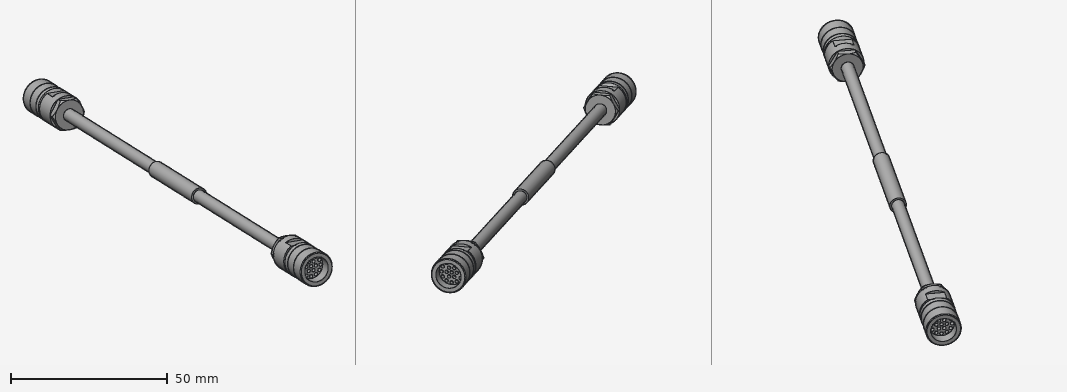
import cadquery as cq
import math

TOTAL_LENGTH = 194.86
HALF_LENGTH = TOTAL_LENGTH / 2
CONNECTOR_DIAMETER = 11.5

CABLE_DIAMETER = 4.2
SLEEVE_DIAMETER = 5.4
SLEEVE_LENGTH = 30.0

GRIP_START = 5.0
GRIP_END = 9.1
COUPLING_LENGTH = 11.8
BODY_END = 19.1
CONNECTOR_LENGTH = 21.4

TIP_CHAMFER = 0.3
REAR_TAPER_LENGTH = 0.9
REAR_TAPER_ANGLE = 58.0
GRIP_RELIEF = 0.1
BORE_DIAMETER = 8.3
BORE_DEPTH = 8.0

INSERT_RECESS = 3.8
SOCKET_DIAMETER = 1.1
SOCKET_DEPTH = 2.0
SOCKET_PITCH = 1.7
SOCKET_RINGS = 2
SOCKETS_PER_RING_STEP = 6

FLAT_ACROSS = 9.7
FLAT_LENGTH = 3.8
HEX_ACROSS_FLATS = 10.0
HEX_CORNER_DIAMETER = HEX_ACROSS_FLATS / math.cos(math.pi / 6)
HEX_CHAMFER = (CONNECTOR_DIAMETER - HEX_ACROSS_FLATS) / 2


def rod(start, end, diameter):
    """Cylinder along X between two stations."""
    return cq.Workplane("YZ", origin=(start, 0, 0)).circle(diameter / 2).extrude(end - start)


def make_coupling():
    """Round coupling shell with a shallow grip band and an open front bore."""
    radius = CONNECTOR_DIAMETER / 2
    rear_radius = radius - REAR_TAPER_LENGTH * math.tan(math.radians(REAR_TAPER_ANGLE))
    half_section = [
        (0, 0),
        (0, radius - TIP_CHAMFER),
        (TIP_CHAMFER, radius),
        (COUPLING_LENGTH - REAR_TAPER_LENGTH, radius),
        (COUPLING_LENGTH, rear_radius),
        (COUPLING_LENGTH, 0),
    ]
    shell = cq.Workplane("XY").polyline(half_section).close().revolve(360, (0, 0, 0), (1, 0, 0))

    grip_floor = rod(GRIP_START, GRIP_END, CONNECTOR_DIAMETER - 2 * GRIP_RELIEF)
    grip_relief = rod(GRIP_START, GRIP_END, CONNECTOR_DIAMETER).cut(grip_floor)
    shell = shell.cut(grip_relief)

    shell = shell.cut(rod(0, BORE_DEPTH, BORE_DIAMETER))
    return shell.cut(rod(BORE_DEPTH, COUPLING_LENGTH, CABLE_DIAMETER))


def make_insert():
    """Disc that fills the inner end of the bore, with blind contact sockets."""
    insert = rod(INSERT_RECESS, BORE_DEPTH, BORE_DIAMETER)
    socket = rod(INSERT_RECESS, INSERT_RECESS + SOCKET_DEPTH, SOCKET_DIAMETER)
    insert = insert.cut(socket)
    for ring in range(1, SOCKET_RINGS + 1):
        count = ring * SOCKETS_PER_RING_STEP
        for index in range(count):
            angle = 2 * math.pi * index / count
            offset_y = ring * SOCKET_PITCH * math.cos(angle)
            offset_z = ring * SOCKET_PITCH * math.sin(angle)
            insert = insert.cut(socket.translate((0, offset_y, offset_z)))
    return insert


def make_body():
    """Clamp body with two wrench flats, a chamfered rear hexagon and the cable hole."""
    barrel = rod(COUPLING_LENGTH, BODY_END, CONNECTOR_DIAMETER)
    flat_middle = COUPLING_LENGTH + FLAT_LENGTH / 2
    flat_cutter = cq.Workplane("XY").box(FLAT_LENGTH, CONNECTOR_DIAMETER, CONNECTOR_DIAMETER)
    for side in (1, -1):
        height = side * (FLAT_ACROSS + CONNECTOR_DIAMETER) / 2
        barrel = barrel.cut(flat_cutter.translate((flat_middle, 0, height)))

    hex_length = CONNECTOR_LENGTH - BODY_END
    hexagon = cq.Workplane("YZ", origin=(BODY_END, 0, 0)).polygon(6, HEX_CORNER_DIAMETER).extrude(hex_length)
    rounding = rod(BODY_END, CONNECTOR_LENGTH, CONNECTOR_DIAMETER).faces(">X").chamfer(HEX_CHAMFER)
    hexagon = hexagon.intersect(rounding)

    cable_hole = rod(COUPLING_LENGTH, CONNECTOR_LENGTH, CABLE_DIAMETER)
    return barrel.union(hexagon).cut(cable_hole)


cable_half_length = HALF_LENGTH - BORE_DEPTH
cable = rod(-cable_half_length, cable_half_length, CABLE_DIAMETER)
sleeve = rod(-SLEEVE_LENGTH / 2, SLEEVE_LENGTH / 2, SLEEVE_DIAMETER).cut(cable)

bodies = [cable.val(), sleeve.val()]
for connector_part in (make_coupling(), make_insert(), make_body()):
    left_part = connector_part.translate((-HALF_LENGTH, 0, 0))
    right_part = left_part.mirror("YZ")
    bodies.append(left_part.val())
    bodies.append(right_part.val())

result = cq.Compound.makeCompound(bodies)